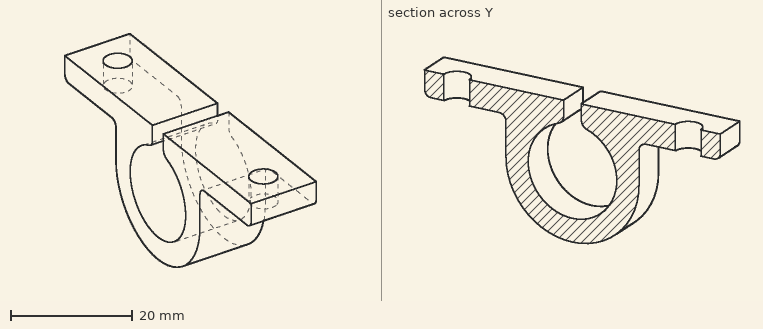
import cadquery as cq

total_width = 56.3
depth = 12.83
total_height = 25.02

ring_radius = 12.7
bore_radius = 8.38
gap_width = 3.3

flange_thickness = 4.76
hole_diameter = 4.8
hole_spacing = 44.0

flange_end_radius = 1.27
inner_corner_radius = 1.27
gap_lip_radius = 1.5

top_z = total_height - ring_radius
flange_bottom_z = top_z - flange_thickness


def extrude_along_depth(sketch):
    """Extrude an XZ outline symmetrically about the XZ plane."""
    return sketch.extrude(depth / 2, both=True)


def make_body():
    """Flange over a U-shaped ring body, with the flange and corner fillets."""
    half_width = total_width / 2
    body = extrude_along_depth(
        cq.Workplane("XZ")
        .moveTo(-half_width, top_z)
        .lineTo(half_width, top_z)
        .lineTo(half_width, flange_bottom_z)
        .lineTo(ring_radius, flange_bottom_z)
        .lineTo(ring_radius, 0)
        .threePointArc((0, -ring_radius), (-ring_radius, 0))
        .lineTo(-ring_radius, flange_bottom_z)
        .lineTo(-half_width, flange_bottom_z)
        .close()
    )
    for side in (-1, 1):
        flange_end = cq.selectors.NearestToPointSelector((side * half_width, 0, flange_bottom_z))
        body = body.edges(flange_end).fillet(flange_end_radius)
        inner_corner = cq.selectors.NearestToPointSelector((side * ring_radius, 0, flange_bottom_z))
        body = body.edges(inner_corner).fillet(inner_corner_radius)
    return body


def cut_bore_and_gap(body):
    """Cut the bore and the gap above it, then round the two lips where they meet."""
    bore = extrude_along_depth(cq.Workplane("XZ").circle(bore_radius))
    gap = extrude_along_depth(
        cq.Workplane("XZ").center(0, top_z / 2).rect(gap_width, top_z)
    )
    body = body.cut(bore).cut(gap)
    lip_x = gap_width / 2
    lip_z = (bore_radius**2 - lip_x**2) ** 0.5
    for side in (-1, 1):
        lip = cq.selectors.NearestToPointSelector((side * lip_x, 0, lip_z))
        body = body.edges(lip).fillet(gap_lip_radius)
    return body


def drill_mounting_holes(body):
    """Drill one vertical hole through each end of the flange."""
    holes = (
        cq.Workplane("XY", origin=(0, 0, flange_bottom_z))
        .pushPoints([(-hole_spacing / 2, 0), (hole_spacing / 2, 0)])
        .circle(hole_diameter / 2)
        .extrude(flange_thickness)
    )
    return body.cut(holes)


result = drill_mounting_holes(cut_bore_and_gap(make_body()))